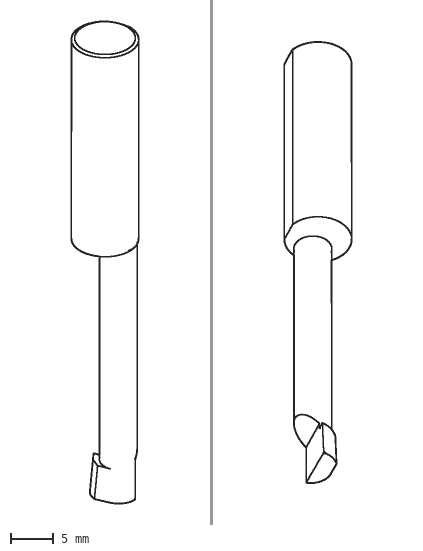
import cadquery as cq
import math

total_length = 63.49
shank_length = 28.0
shank_radius = 3.97
flat_distance = 3.71
end_chamfer_width = 0.4
end_chamfer_height = 0.2

neck_radius = 2.23
neck_center_x = shank_radius - neck_radius
neck_top = total_length - shank_length

ramp_foot = 5.8
ramp_rise = 2.05
ramp_run = neck_radius

head_height = 5.1
side_lean = math.radians(5)
edge_top_x = -1.46
flank_width = 0.77
flank_depth = 1.55
flank_bulge = 0.1
heel_width = 0.8
back_offset = -neck_radius
end_tilt = math.radians(2)
end_relief = math.radians(6)
nose_chamfer = 0.15

corner_x = edge_top_x - head_height * math.tan(side_lean)
tip_x = corner_x + nose_chamfer


def make_shank():
    shank = cq.Workplane("XY").workplane(offset=neck_top).circle(shank_radius).extrude(shank_length)
    shank = shank.faces(">Z").chamfer(end_chamfer_height, end_chamfer_width)
    beyond_flat = (
        cq.Workplane("XY")
        .workplane(offset=neck_top)
        .center(0, flat_distance + shank_radius)
        .rect(4 * shank_radius, 2 * shank_radius)
        .extrude(shank_length)
    )
    return shank.cut(beyond_flat)


def make_neck():
    return cq.Workplane("XY").center(neck_center_x, 0).circle(neck_radius).extrude(neck_top)


def head_section(z):
    """Closed outline of the cutting head at height z."""
    edge_x = edge_top_x - (head_height - z) * math.tan(side_lean)
    heel_x = edge_x + flank_width
    back_x = heel_x + heel_width
    chord = math.hypot(flank_width, flank_depth)
    middle_x = edge_x + flank_width / 2 - flank_bulge * flank_depth / chord
    middle_y = -flank_depth / 2 - flank_bulge * flank_width / chord
    outline = (
        cq.Workplane("XY")
        .workplane(offset=z)
        .moveTo(edge_x, 0)
        .threePointArc((middle_x, middle_y), (heel_x, -flank_depth))
        .lineTo(back_x, back_offset)
        .lineTo(neck_center_x, back_offset)
        .lineTo(neck_center_x, 0)
        .close()
    )
    return outline.val()


def make_head():
    return cq.Workplane(cq.Solid.makeLoft([head_section(0), head_section(head_height)], True))


def rake_cut():
    """Everything in front of the rake face, below the ramp."""
    reach = 2 * ramp_run
    below = -ramp_foot
    profile = [
        (0, below),
        (0, ramp_foot),
        (reach, ramp_foot + 2 * ramp_rise),
        (reach, below),
    ]
    return cq.Workplane("YZ").polyline(profile).close().extrude(2 * shank_radius, both=True)


def end_cut():
    """Block below the end face, tilted for relief and lowest at the tip."""
    size = 4 * shank_radius
    block = cq.Workplane("XY").box(size, size, size, centered=(True, True, False))
    block = block.translate((0, 0, -size))
    block = block.rotate((0, 0, 0), (1, 0, 0), -math.degrees(end_relief))
    block = block.rotate((0, 0, 0), (0, 1, 0), -math.degrees(end_tilt))
    return block.translate((tip_x, 0, 0))


def nose_cut():
    """Wedge that bevels the sharp corner between the side flank and the end face."""
    profile = [
        (tip_x, 0),
        (corner_x, nose_chamfer),
        (corner_x - nose_chamfer, nose_chamfer),
        (corner_x - nose_chamfer, 0),
    ]
    return cq.Workplane("XZ").polyline(profile).close().extrude(neck_radius)


body = make_shank().union(make_neck()).union(make_head())
result = body.cut(rake_cut()).cut(end_cut()).cut(nose_cut())